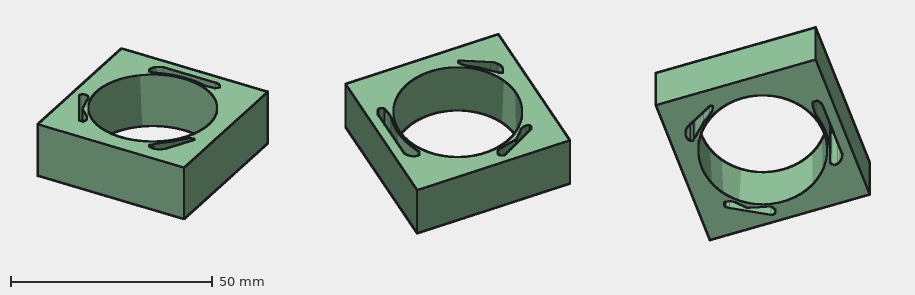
import cadquery as cq

side = 42.0
height = 15.0
bore_diameter = 32.1

back_slot_half_flat = 7.5
back_slot_outer_y = 18.3
back_slot_start = (-back_slot_half_flat, back_slot_outer_y)
back_slot_edges = [
    [(-9.1, 17.45), (-9.83, 16.25)],
    [(-9.5, 14.95), (-8.15, 14.95)],
    [(0, 16.55), (5.45, 15.85)],
    [(6.25, 15.75), (7.1, 15.85)],
    [(8.75, 15.95)],
    [(9.32, 16.55), (9.32, 17.45)],
    [(8.55, 18.05), (back_slot_half_flat, back_slot_outer_y)],
]

left_slot_start = (-18.77, -4.2)
left_slot_edges = [
    [(-18.77, -3.3), (-17.75, -2.77)],
    [(-16.67, -3.25), (-16.15, -4.1)],
    [(-16.1, -4.85)],
    [(-14.95, -9.1)],
    [(-12.15, -11.7)],
    [(-11.75, -12.45), (-11.55, -13.4)],
    [(-11.65, -13.9), (-11.9, -14.2)],
    [(-12.47, -14.3), (-12.98, -14.15)],
    [(-13.55, -13.3)],
]

right_slot_start = (16.4, -8.5)
right_slot_edges = [
    [(16.45, -7.95), (16.0, -7.73)],
    [(15.37, -7.95), (14.8, -8.35)],
    [(13.95, -9.3)],
    [(12.45, -11.3)],
    [(8.95, -14.75)],
    [(8.65, -15.2)],
    [(8.15, -15.65), (8.25, -16.2)],
    [(9.75, -16.8), (11.55, -16.25)],
    [(12.22, -15.75), (12.73, -15.0)],
]


def slot_cutter(start, edges):
    """Closed slot outline extruded through the full block height."""
    outline = cq.Workplane("XY").moveTo(*start)
    for points in edges:
        if len(points) == 1:
            outline = outline.lineTo(*points[0])
        else:
            outline = outline.threePointArc(*points)
    return outline.close().extrude(height)


block = cq.Workplane("XY").rect(side, side).extrude(height)
bore = cq.Workplane("XY").circle(bore_diameter / 2).extrude(height)

result = block.cut(bore)
for slot_start, slot_edges in (
    (back_slot_start, back_slot_edges),
    (left_slot_start, left_slot_edges),
    (right_slot_start, right_slot_edges),
):
    result = result.cut(slot_cutter(slot_start, slot_edges))